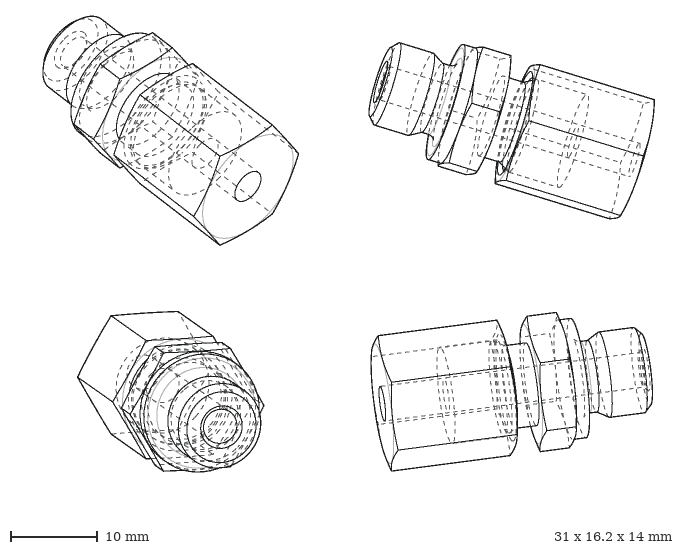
import cadquery as cq
import math


total_length = 31.0
hex_width = 14.0
hex_radius = hex_width / 2
corner_radius = hex_radius / math.cos(math.pi / 6)
hex_chamfer_angle = math.radians(15)
turned_radius = 6.98
hex_chamfer = (corner_radius - turned_radius) * math.tan(hex_chamfer_angle)

port_radius = 5.0
port_chamfer_length = 0.78
port_chamfer_depth = 0.8
port_cylinder_end = 4.9
runout_angle = math.radians(30)
undercut_radius = 4.2
runout_end = port_cylinder_end + (port_radius - undercut_radius) / math.tan(runout_angle)
undercut_fillet = 1.0

collar_start = 7.95
recess_radius = 6.5
recess_angle = math.radians(10)

hex_start = 9.45
hex_end = 13.5

neck_radius = 4.85
neck_end = 16.03
stud_radius = 5.6
stud_cone_end = neck_end + (stud_radius - neck_radius) / math.tan(runout_angle)
stud_end = 23.5

bore_radius = 2.0
bore_chamfer = 0.5

nut_start = 16.43
nut_mouth_radius = 6.25
nut_mouth_slope = math.radians(30)
nut_mouth_depth = (nut_mouth_radius - stud_radius) * math.tan(nut_mouth_slope)


def hexagon(start, end):
    """Hexagonal bar along X with corners on +Y and -Y."""
    return (
        cq.Workplane("YZ", origin=(start, 0, 0))
        .polygon(6, 2 * corner_radius)
        .extrude(end - start)
    )


def revolve_about_x(profile):
    """Full revolution of a closed XY profile about the X axis."""
    return profile.close().revolve(360, (0, 0, 0), (1, 0, 0))


def cylinder(radius, start, end):
    """Round bar along X."""
    return cq.Workplane("YZ", origin=(start, 0, 0)).circle(radius).extrude(end - start)


def chamfered_hexagon(start, end):
    """Hexagonal bar whose corners are turned to a cone at both ends."""
    envelope = revolve_about_x(
        cq.Workplane("XY")
        .moveTo(start, 0)
        .lineTo(start, turned_radius)
        .lineTo(start + hex_chamfer, corner_radius)
        .lineTo(end - hex_chamfer, corner_radius)
        .lineTo(end, turned_radius)
        .lineTo(end, 0)
    )
    return hexagon(start, end).intersect(envelope)


def port_and_collar():
    """Turned front half: port end, filleted undercut and recessed collar."""
    fillet_turn = math.pi / 2 + recess_angle
    fillet_center_radius = undercut_radius + undercut_fillet
    recess_tangent_radius = fillet_center_radius - undercut_fillet * math.cos(fillet_turn)
    recess_depth = (recess_radius - recess_tangent_radius) * math.tan(recess_angle)
    recess_tangent_x = collar_start + recess_depth
    fillet_start = recess_tangent_x - undercut_fillet * math.sin(fillet_turn)
    fillet_middle = (
        fillet_start + undercut_fillet * math.sin(fillet_turn / 2),
        fillet_center_radius - undercut_fillet * math.cos(fillet_turn / 2),
    )
    return revolve_about_x(
        cq.Workplane("XY")
        .moveTo(0, 0)
        .lineTo(0, port_radius - port_chamfer_depth)
        .lineTo(port_chamfer_length, port_radius)
        .lineTo(port_cylinder_end, port_radius)
        .lineTo(runout_end, undercut_radius)
        .lineTo(fillet_start, undercut_radius)
        .threePointArc(fillet_middle, (recess_tangent_x, recess_tangent_radius))
        .lineTo(collar_start, recess_radius)
        .lineTo(collar_start, turned_radius)
        .lineTo(hex_start, turned_radius)
        .lineTo(hex_start, 0)
    )


def neck_and_stud():
    """Turned rear half: neck widening in a cone to the stud inside the nut."""
    return revolve_about_x(
        cq.Workplane("XY")
        .moveTo(hex_end, 0)
        .lineTo(hex_end, neck_radius)
        .lineTo(neck_end, neck_radius)
        .lineTo(stud_cone_end, stud_radius)
        .lineTo(stud_end, stud_radius)
        .lineTo(stud_end, 0)
    )


def countersink(start, mouth_radius, inner_radius, depth):
    """Conical cutter narrowing along +X from the mouth radius to the inner radius."""
    return revolve_about_x(
        cq.Workplane("XY")
        .moveTo(start, 0)
        .lineTo(start, mouth_radius)
        .lineTo(start + depth, inner_radius)
        .lineTo(start + depth, 0)
    )


def make_body():
    """Fitting body: port end, collar, hexagon and stud, bored through."""
    return (
        port_and_collar()
        .union(chamfered_hexagon(hex_start, hex_end))
        .union(neck_and_stud())
        .cut(cylinder(bore_radius, 0, stud_end))
        .cut(countersink(0, bore_radius + bore_chamfer, bore_radius, bore_chamfer))
    )


def make_nut():
    """Union nut: hexagon with a countersunk bore for the stud and a through bore behind it."""
    return (
        chamfered_hexagon(nut_start, total_length)
        .cut(countersink(nut_start, nut_mouth_radius, stud_radius, nut_mouth_depth))
        .cut(cylinder(stud_radius, nut_start, stud_end))
        .cut(cylinder(bore_radius, stud_end, total_length))
    )


body = make_body()
nut = make_nut()

result = cq.Compound.makeCompound([body.val(), nut.val()])